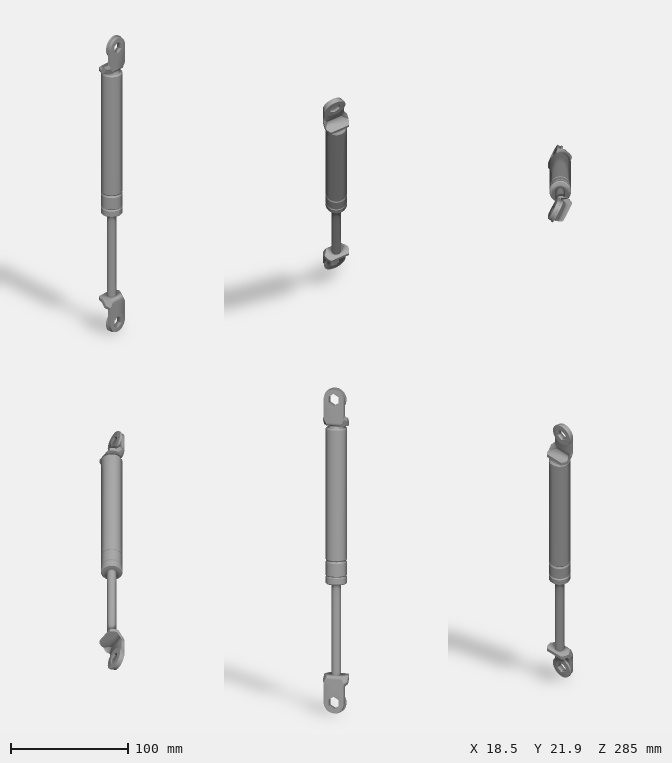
import cadquery as cq
import math

total_length = 285.0
bracket_base_offset = 33.3

sheet = 3.0
wall_back_x = 7.0
wall_half_width = 9.0
base_radius = 10.97
base_front_x = -7.0
bend_radius = 3.0
taper_start = 4.0
taper_end = 7.7
gusset_rise = 7.7
gusset_run = 6.0
gusset_inner_y = 6.5
gusset_thickness = 2.3
stock = 57.0

bush_radius = 10.0
bush_thickness = 1.7
hex_across_flats = 9.0
hex_across_corners = hex_across_flats / math.cos(math.pi / 6)

rod_radius = 4.0
cylinder_radius = 9.25
cylinder_bottom = 113.1
shoulder_z = 250.0
edge_chamfer = 1.0
bottom_chamfer = 0.9
neck_radius = 6.3
neck_shoulder_radius = 7.5
groove_depth = 1.0
upper_groove_z = 133.5
upper_groove_height = 2.5
lower_groove_z = 120.0
lower_groove_height = 1.7

base_outer_z = total_length - bracket_base_offset
base_inner_z = base_outer_z + sheet
wall_front_x = wall_back_x - sheet
eye_z = total_length - bush_radius


def half_space(origin, normal):
    """Large block lying on the side of a plane that the normal points to."""
    return cq.Workplane(cq.Plane(origin=origin, normal=normal)).rect(stock, stock).extrude(stock)


def gusset_plane(side):
    """Point on the inner gusset face at side * Y, and its unit normal into the hollow."""
    spread = base_radius - gusset_inner_y
    corner = cq.Vector(wall_front_x, side * gusset_inner_y, base_inner_z)
    normal = cq.Vector(-1 / gusset_run, -side / spread, 1 / gusset_rise).normalized()
    return corner, normal


def hex_hole():
    """Hexagonal prism along X through the eye, with corners up and down."""
    return (
        cq.Workplane("YZ")
        .center(0, eye_z)
        .transformed(rotate=(0, 0, 90))
        .polygon(6, hex_across_corners)
        .extrude(stock, both=True)
    )


def upper_bracket():
    wall_height = eye_z + wall_half_width - base_outer_z
    block = (
        cq.Workplane("XY", origin=(0, 0, base_outer_z))
        .rect(2 * wall_back_x, 2 * base_radius)
        .extrude(wall_height)
        .edges(">X and <Z")
        .fillet(bend_radius)
    )
    hollow = cq.Workplane("XY").box(stock, stock, stock, centered=(True, True, False)).translate(
        (wall_front_x - stock / 2, 0, base_inner_z)
    )

    for side in (-1, 1):
        corner, normal = gusset_plane(side)
        hollow = hollow.intersect(half_space(corner, normal))
        block = block.cut(half_space(corner - normal * gusset_thickness, normal * -1))
    bracket = block.cut(hollow)

    arc_half_width = math.sqrt(base_radius**2 - base_front_x**2)
    arc_middle_angle = (math.pi / 2 + math.atan2(arc_half_width, base_front_x)) / 2
    arc_middle_x = base_radius * math.cos(arc_middle_angle)
    arc_middle_y = base_radius * math.sin(arc_middle_angle)
    plan = (
        cq.Workplane("XY")
        .moveTo(base_front_x, -arc_half_width)
        .threePointArc((arc_middle_x, -arc_middle_y), (0, -base_radius))
        .lineTo(wall_back_x, -base_radius)
        .lineTo(wall_back_x, base_radius)
        .lineTo(0, base_radius)
        .threePointArc((arc_middle_x, arc_middle_y), (base_front_x, arc_half_width))
        .close()
        .extrude(total_length)
    )

    slope_plane = cq.Plane(origin=(0, 0, base_inner_z), xDir=(0, 1, 0), normal=(1, 0, -1))
    slope_outline = (
        cq.Workplane(slope_plane)
        .moveTo(-base_radius, -stock)
        .lineTo(base_radius, -stock)
        .lineTo(base_radius, taper_start)
        .lineTo(wall_half_width, taper_end)
        .lineTo(wall_half_width, stock)
        .lineTo(-wall_half_width, stock)
        .lineTo(-wall_half_width, taper_end)
        .lineTo(-base_radius, taper_start)
        .close()
        .extrude(stock, both=True)
    )

    eye_outline = (
        cq.Workplane("YZ")
        .moveTo(-base_radius, base_outer_z)
        .lineTo(base_radius, base_outer_z)
        .lineTo(base_radius, eye_z)
        .lineTo(wall_half_width, eye_z)
        .threePointArc((0, eye_z + wall_half_width), (-wall_half_width, eye_z))
        .lineTo(-base_radius, eye_z)
        .close()
        .extrude(stock, both=True)
    )
    return bracket.intersect(plan).intersect(slope_outline).intersect(eye_outline).cut(hex_hole())


def upper_bush():
    return (
        cq.Workplane("YZ", origin=(wall_front_x, 0, eye_z))
        .circle(bush_radius)
        .extrude(-bush_thickness)
        .cut(hex_hole())
    )


def both_ends(body):
    """The upper body and its mirror image at the lower end, as separate solids."""
    lower = body.mirror("XY", (0, 0, total_length / 2))
    return [body.val(), lower.val()]


def groove(z, height):
    """V-shaped ring that is cut into the tube at height z."""
    return (
        cq.Workplane("XZ")
        .moveTo(cylinder_radius, z - height / 2)
        .lineTo(cylinder_radius - groove_depth, z)
        .lineTo(cylinder_radius, z + height / 2)
        .close()
        .revolve(360, (0, 0, 0), (0, 1, 0))
    )


def make_cylinder():
    tube = (
        cq.Workplane("XZ")
        .moveTo(rod_radius, cylinder_bottom)
        .lineTo(cylinder_radius - bottom_chamfer, cylinder_bottom)
        .lineTo(cylinder_radius, cylinder_bottom + bottom_chamfer)
        .lineTo(cylinder_radius, shoulder_z - edge_chamfer)
        .lineTo(cylinder_radius - edge_chamfer, shoulder_z)
        .lineTo(neck_shoulder_radius, shoulder_z)
        .lineTo(neck_radius, base_outer_z)
        .lineTo(0, base_outer_z)
        .lineTo(0, shoulder_z)
        .lineTo(rod_radius, shoulder_z)
        .close()
        .revolve(360, (0, 0, 0), (0, 1, 0))
    )
    for z, height in ((upper_groove_z, upper_groove_height), (lower_groove_z, lower_groove_height)):
        tube = tube.cut(groove(z, height))
    return tube


def make_rod():
    return (
        cq.Workplane("XY", origin=(0, 0, bracket_base_offset))
        .circle(rod_radius)
        .extrude(shoulder_z - bracket_base_offset)
    )


brackets = both_ends(upper_bracket())
bushes = both_ends(upper_bush())
cylinder = make_cylinder()
rod = make_rod()

result = cq.Compound.makeCompound([cylinder.val(), rod.val(), *brackets, *bushes])